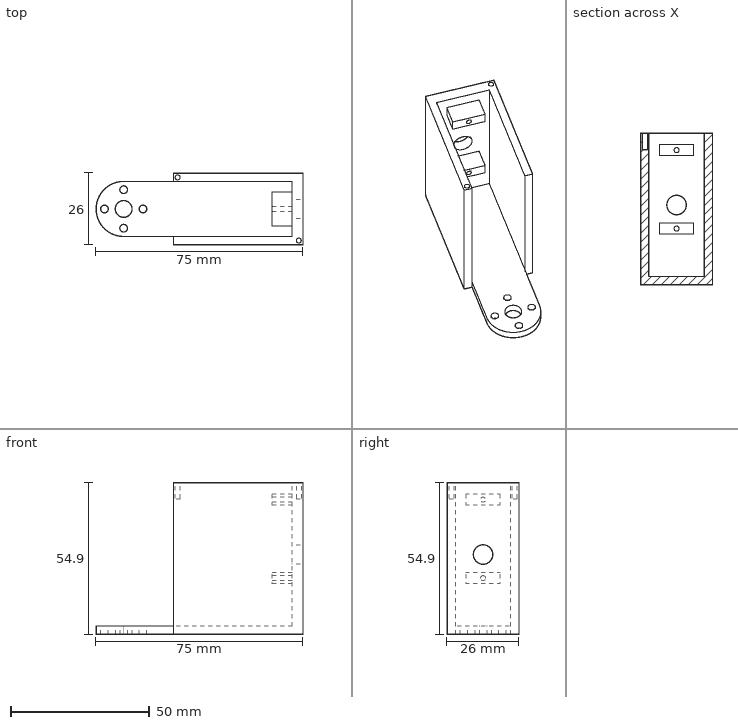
import cadquery as cq

length = 75.0
width = 26.0
height = 54.9

wall = 3.0
back_wall = 4.05
housing_length = 47.0
inner_width = width - 2 * wall
housing_front = length - housing_length
back_face = length - back_wall

tongue_radius = inner_width / 2
hub_diameter = 6.0
screw_diameter = 2.7
screw_circle_radius = 7.0
screw_count = 4

block_length = 7.2
block_width = 12.3
block_height = 4.0
lower_block_z = 20.3
upper_block_drop = 6.15
block_centers_z = (lower_block_z, height - upper_block_drop)
cable_hole_diameter = 7.0
cable_hole_z = 28.9

pilot_diameter = 1.8
block_pilot_depth = block_length
rim_pilot_inset = 1.6
rim_pilot_depth = 6.0


def box(x_start, x_end, y_size, z_start, z_size):
    """Box centred on Y, placed by its X range and its bottom."""
    return cq.Workplane("XY").box(
        x_end - x_start, y_size, z_size, centered=(False, True, False)
    ).translate((x_start, 0, z_start))


def hole_along_x(x_start, z, diameter, depth):
    """Cylinder on the centre plane, running toward +X."""
    return cq.Workplane("YZ", origin=(x_start, 0, z)).circle(diameter / 2).extrude(depth)


housing = box(housing_front, length, width, 0, height)
housing = housing.cut(box(housing_front, back_face, inner_width, wall, height))

tongue = box(tongue_radius, back_face, inner_width, 0, wall)
tongue_end = cq.Workplane("XY").center(tongue_radius, 0).circle(tongue_radius).extrude(wall)
result = housing.union(tongue).union(tongue_end)

tongue_holes = (
    cq.Workplane("XY")
    .center(tongue_radius, 0)
    .circle(hub_diameter / 2)
    .polarArray(screw_circle_radius, 0, 360, screw_count)
    .circle(screw_diameter / 2)
    .extrude(wall)
)
result = result.cut(tongue_holes)

block_front = back_face - block_length
for block_z in block_centers_z:
    block = box(block_front, back_face, block_width, block_z - block_height / 2, block_height)
    pilot = hole_along_x(block_front, block_z, pilot_diameter, block_pilot_depth)
    result = result.union(block).cut(pilot)

result = result.cut(hole_along_x(back_face, cable_hole_z, cable_hole_diameter, back_wall))

rim_pilot_y = width / 2 - rim_pilot_inset
rim_pilots = (
    cq.Workplane("XY", origin=(0, 0, height))
    .pushPoints([
        (housing_front + rim_pilot_inset, rim_pilot_y),
        (length - rim_pilot_inset, -rim_pilot_y),
    ])
    .circle(pilot_diameter / 2)
    .extrude(-rim_pilot_depth)
)
result = result.cut(rim_pilots)